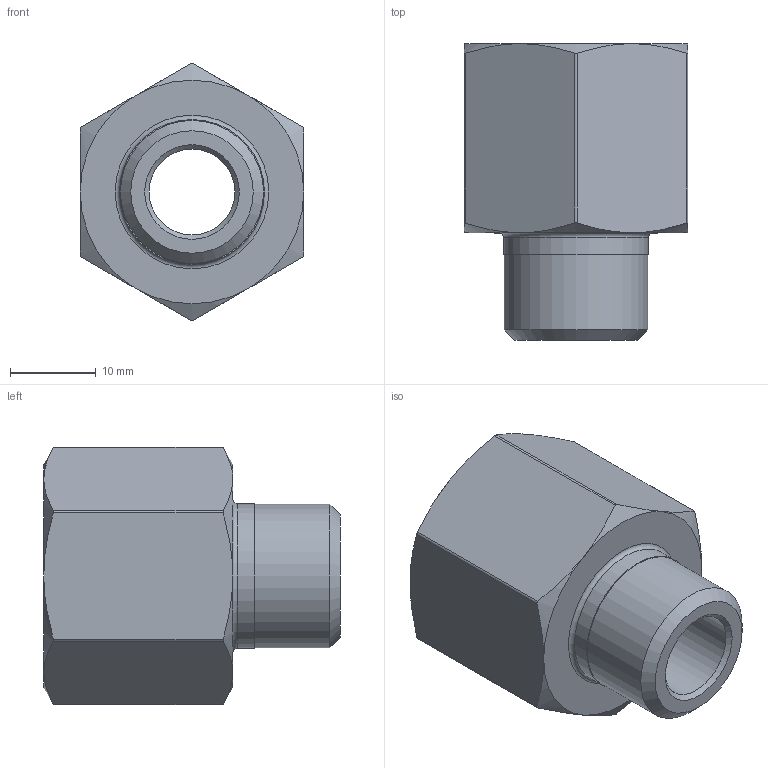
import cadquery as cq
import math

hex_sides = 6
across_flats = 26.0
hex_length = 22.0
hex_edge_radius = 0.3
hex_chamfer_angle = 30.0

spigot_diameter = 16.66
spigot_length = 12.5
spigot_chamfer = 1.2
collar_diameter = 16.86
collar_length = 2.5
root_fillet = 0.5

bore_diameter = 10.0
bore_chamfer = 0.5

across_corners = across_flats / math.cos(math.pi / hex_sides)


def revolve_about_y(profile):
    """Turn an XY half-profile a full revolution about the Y axis."""
    return profile.close().revolve(360, (0, 0, 0), (0, 1, 0))


def make_hexagon():
    """Hexagonal prism with flats facing +X and -X, rounded edges and turned ends."""
    prism = (
        cq.Workplane("XZ")
        .transformed(rotate=(0, 0, 90))
        .polygon(hex_sides, across_corners)
        .extrude(-hex_length)
        .edges("|Y")
        .fillet(hex_edge_radius)
    )
    face_radius = across_flats / 2
    corner_radius = across_corners / 2
    chamfer_depth = (corner_radius - face_radius) * math.tan(math.radians(hex_chamfer_angle))
    turned_envelope = revolve_about_y(
        cq.Workplane("XY")
        .moveTo(0, 0)
        .lineTo(face_radius, 0)
        .lineTo(corner_radius, chamfer_depth)
        .lineTo(corner_radius, hex_length - chamfer_depth)
        .lineTo(face_radius, hex_length)
        .lineTo(0, hex_length)
    )
    return prism.intersect(turned_envelope)


def make_spigot():
    """Stepped spigot: fillet at the hexagon, short collar, shank and end chamfer."""
    radius = spigot_diameter / 2
    collar_radius = collar_diameter / 2
    overlap = hex_length / 2
    return revolve_about_y(
        cq.Workplane("XY")
        .moveTo(0, overlap)
        .lineTo(collar_radius + root_fillet, overlap)
        .lineTo(collar_radius + root_fillet, 0)
        .radiusArc((collar_radius, -root_fillet), -root_fillet)
        .lineTo(collar_radius, -collar_length)
        .lineTo(radius, -collar_length)
        .lineTo(radius, -spigot_length + spigot_chamfer)
        .lineTo(radius - spigot_chamfer, -spigot_length)
        .lineTo(0, -spigot_length)
    )


def make_bore():
    """Through bore with a chamfered mouth at the spigot end."""
    radius = bore_diameter / 2
    return revolve_about_y(
        cq.Workplane("XY")
        .moveTo(0, -spigot_length)
        .lineTo(radius + bore_chamfer, -spigot_length)
        .lineTo(radius, -spigot_length + bore_chamfer)
        .lineTo(radius, hex_length)
        .lineTo(0, hex_length)
    )


result = make_hexagon().union(make_spigot()).cut(make_bore())